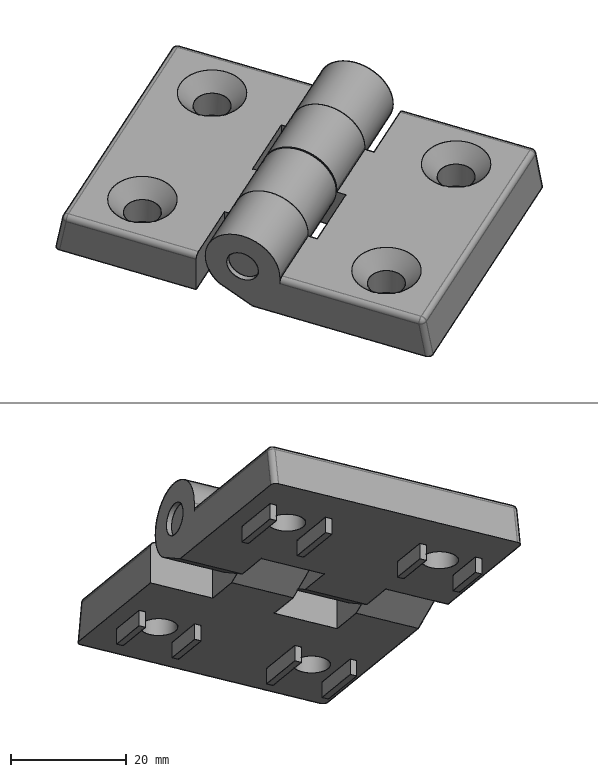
import cadquery as cq
import math


hinge_width = 70.95
hinge_depth = 49.0
plate_thickness = 8.0
end_draft = 10.0
edge_round = 1.0
slot_wall_x = 8.7

barrel_radius = 7.0
axis_height = 8.5
pin_diameter = 5.95
pin_recess = 1.0
knuckle_gap = 0.3
outer_knuckle_start = hinge_depth / 4
ramp_start_x = 1.9
ramp_end_angle = 40.0

hole_x = 23.0
hole_y = 15.05
hole_diameter = 6.5
countersink_diameter = 12.0
countersink_angle = 86.0

pad_height = 3.0
pad_thickness = 1.3
pad_offset = 5.45
long_pad_length = 10.15
short_pad_length = 8.1

half_width = hinge_width / 2
half_depth = hinge_depth / 2


def slab(outline, y_start, y_end):
    """Extrude an outline drawn in XZ from y_start to y_end."""
    return outline.extrude(y_start - y_end).translate((0, y_start, 0))


def xz_sketch():
    return cq.Workplane("XZ")


def plate():
    """Left plate with a leaning end face and rounded outer edges."""
    lean = plate_thickness * math.tan(math.radians(end_draft))
    outline = xz_sketch().polyline([
        (-half_width, 0),
        (-barrel_radius, 0),
        (-barrel_radius, plate_thickness),
        (-half_width + lean, plate_thickness),
    ]).close()
    body = slab(outline, -half_depth, half_depth)
    corner_edges = body.faces("<X").edges("not #Z").edges("not |Y")
    top_edges = body.faces(">Z").edges("not >X")
    return body.newObject(corner_edges.vals() + top_edges.vals()).fillet(edge_round)


def slot(y_start, y_end):
    """Clearance in the left plate for a knuckle of the other leaf."""
    outline = xz_sketch().polyline([
        (-slot_wall_x, 0),
        (0, 0),
        (0, plate_thickness),
        (-slot_wall_x, plate_thickness),
    ]).close()
    return slab(outline, y_start, y_end)


def knuckle(y_start, y_end):
    """Barrel segment with a ramped underside, joined to the left plate."""
    angle = math.radians(ramp_end_angle)
    ramp_end = (barrel_radius * math.sin(angle), axis_height - barrel_radius * math.cos(angle))
    outline = (
        xz_sketch()
        .moveTo(-barrel_radius, 0)
        .lineTo(-ramp_start_x, 0)
        .lineTo(*ramp_end)
        .threePointArc((0, axis_height + barrel_radius), (-barrel_radius, axis_height))
        .close()
    )
    return slab(outline, y_start, y_end)


def pin_cylinder(length):
    return (
        xz_sketch()
        .center(0, axis_height)
        .circle(pin_diameter / 2)
        .extrude(length / 2, both=True)
    )


def pads(y_center, length):
    """Pair of locating pads beside the hole at y_center."""
    return (
        cq.Workplane("XY")
        .pushPoints([(-hole_x, y_center - pad_offset), (-hole_x, y_center + pad_offset)])
        .rect(length, pad_thickness)
        .extrude(-pad_height)
    )


def make_leaf():
    """Left leaf, with one knuckle in the middle and one at the +Y end."""
    middle_start = knuckle_gap / 2
    leaf = plate()
    leaf = leaf.cut(slot(-half_depth, -outer_knuckle_start))
    leaf = leaf.cut(slot(-middle_start, outer_knuckle_start))
    leaf = leaf.union(knuckle(-outer_knuckle_start, -middle_start))
    leaf = leaf.union(knuckle(outer_knuckle_start, half_depth))
    leaf = leaf.cut(pin_cylinder(hinge_depth))
    leaf = (
        leaf.copyWorkplane(cq.Workplane("XY", origin=(0, 0, plate_thickness)))
        .pushPoints([(-hole_x, -hole_y), (-hole_x, hole_y)])
        .cskHole(hole_diameter, countersink_diameter, countersink_angle)
    )
    leaf = leaf.union(pads(-hole_y, short_pad_length))
    return leaf.union(pads(hole_y, long_pad_length))


def make_pin():
    return pin_cylinder(hinge_depth - 2 * pin_recess)


leaves = [make_leaf().rotate((0, 0, 0), (0, 0, 1), turn) for turn in (0, 180)]
pin = make_pin()

result = cq.Compound.makeCompound([*[leaf.solids().val() for leaf in leaves], pin.val()])